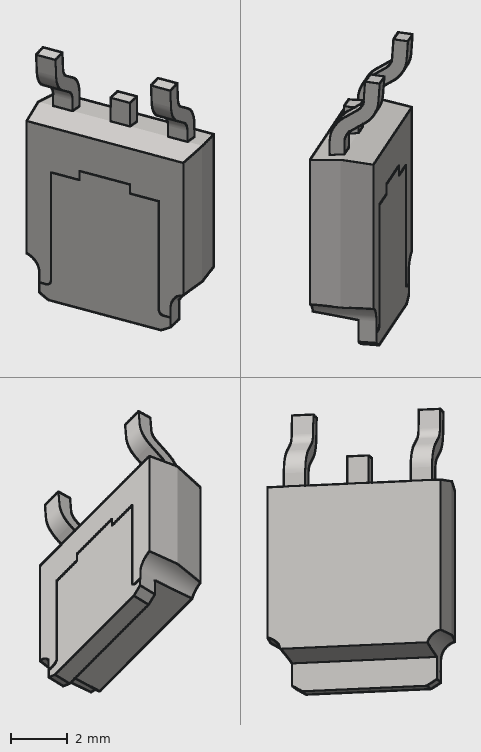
import cadquery as cq
import math


BODY_WIDTH = 6.54
BODY_TOP = 7.18
HALF_DEPTH = 1.14
DRAFT_INSET = 0.15
BODY_BOTTOM_BACK = 1.22
BODY_BOTTOM_AT_TAB = 1.01
NOTCH_RADIUS = 0.66

TAB_THICKNESS = 0.65
TAB_PROUD = 0.01
TAB_WIDTH = BODY_WIDTH - 2 * NOTCH_RADIUS
TAB_CORNER_X = 0.37
TAB_CORNER_Z = 0.22
SHOULDER_Z = 0.62
SHOULDER_RADIUS = 0.2
PAD_WIDTH = 4.29
PAD_TOP = 5.21
TONGUE_WIDTH = 2.01
TONGUE_TOP = 5.58

LEAD_WIDTH = 0.78
LEAD_THICKNESS = 0.53
LEAD_SPACING = 2.29
LEAD_EMBED = 0.99
SHORT_LEAD_TOP = 8.13
BEND_START_Z = 7.61
LOWER_BEND_RADIUS = 0.82
UPPER_BEND_RADIUS = 0.77
SLOPE_ANGLE = math.radians(57)
TIP_ANGLE = math.radians(4)
TIP_FRONT_Y = -1.27
LEAD_TOP = 9.94

TAB_BACK_Y = TAB_THICKNESS - HALF_DEPTH
LEAD_CENTER_Y = LEAD_THICKNESS / 2


def make_body():
    """Drafted block with a parting line and two rounded notches at its lower corners."""
    half_width = BODY_WIDTH / 2
    face_half_width = half_width - DRAFT_INSET
    face_top = BODY_TOP - DRAFT_INSET
    plan = (
        cq.Workplane("XY")
        .polyline([
            (-half_width, 0),
            (-face_half_width, -HALF_DEPTH),
            (face_half_width, -HALF_DEPTH),
            (half_width, 0),
            (face_half_width, HALF_DEPTH),
            (-face_half_width, HALF_DEPTH),
        ])
        .close()
        .extrude(BODY_TOP)
    )
    side = (
        cq.Workplane("YZ")
        .polyline([
            (HALF_DEPTH, BODY_BOTTOM_BACK),
            (TAB_BACK_Y, BODY_BOTTOM_AT_TAB),
            (TAB_BACK_Y, SHOULDER_Z),
            (-HALF_DEPTH, SHOULDER_Z),
            (-HALF_DEPTH, face_top),
            (0, BODY_TOP),
            (HALF_DEPTH, face_top),
        ])
        .close()
        .extrude(half_width, both=True)
    )
    body = plan.intersect(side)
    for sign in (-1, 1):
        corner = cq.Workplane("XZ").center(sign * half_width, BODY_BOTTOM_AT_TAB)
        round_notch = corner.circle(NOTCH_RADIUS).extrude(HALF_DEPTH, both=True)
        straight_notch = (
            corner.center(0, -BODY_BOTTOM_AT_TAB / 2)
            .rect(2 * NOTCH_RADIUS, BODY_BOTTOM_AT_TAB)
            .extrude(HALF_DEPTH, both=True)
        )
        body = body.cut(round_notch).cut(straight_notch)
    return body


def make_tab():
    """Heat tab: wide chamfered foot, narrower pad with rounded shoulders, and a tongue."""
    half_tab = TAB_WIDTH / 2
    half_pad = PAD_WIDTH / 2
    half_tongue = TONGUE_WIDTH / 2
    right_half = [
        (half_tab - TAB_CORNER_X, 0),
        (half_tab, TAB_CORNER_Z),
        (half_tab, SHOULDER_Z),
        (half_pad, SHOULDER_Z),
        (half_pad, PAD_TOP),
        (half_tongue, PAD_TOP),
        (half_tongue, TONGUE_TOP),
    ]
    left_half = [(-x, z) for x, z in reversed(right_half)]
    shoulder_edges = cq.selectors.BoxSelector(
        (-half_pad - 0.1, -2 * HALF_DEPTH, SHOULDER_Z - 0.1),
        (half_pad + 0.1, 2 * HALF_DEPTH, SHOULDER_Z + 0.1),
    )
    return (
        cq.Workplane("XZ", origin=(0, TAB_BACK_Y, 0))
        .polyline(right_half + left_half)
        .close()
        .extrude(TAB_THICKNESS + TAB_PROUD)
        .edges("|Y")
        .edges(shoulder_edges)
        .fillet(SHOULDER_RADIUS)
    )


def bend_offset(radius, start_angle, end_angle):
    """Forward (-Y) and upward travel along an arc, angles measured from vertical."""
    forward = radius * abs(math.cos(start_angle) - math.cos(end_angle))
    upward = radius * abs(math.sin(end_angle) - math.sin(start_angle))
    return forward, upward


def make_formed_lead(x):
    """Lead rising from the body, bent forward and then back to nearly vertical."""
    tip_y = TIP_FRONT_Y + LEAD_THICKNESS / 2 * math.cos(TIP_ANGLE)
    tip_z = LEAD_TOP - LEAD_THICKNESS / 2 * math.sin(TIP_ANGLE)
    lower_forward, lower_up = bend_offset(LOWER_BEND_RADIUS, 0, SLOPE_ANGLE)
    upper_forward, upper_up = bend_offset(UPPER_BEND_RADIUS, SLOPE_ANGLE, TIP_ANGLE)

    forward_left = LEAD_CENTER_Y - tip_y - lower_forward - upper_forward
    up_left = tip_z - BEND_START_Z - lower_up - upper_up
    tip_length = (
        up_left * math.sin(SLOPE_ANGLE) - forward_left * math.cos(SLOPE_ANGLE)
    ) / math.sin(SLOPE_ANGLE - TIP_ANGLE)

    slope_start = (LEAD_CENTER_Y - lower_forward, BEND_START_Z + lower_up)
    tip_start = (
        tip_y + tip_length * math.sin(TIP_ANGLE),
        tip_z - tip_length * math.cos(TIP_ANGLE),
    )
    slope_end = (tip_start[0] + upper_forward, tip_start[1] - upper_up)
    lead_root = BODY_TOP - LEAD_EMBED
    path = (
        cq.Workplane("YZ", origin=(x, 0, 0))
        .moveTo(LEAD_CENTER_Y, lead_root)
        .lineTo(LEAD_CENTER_Y, BEND_START_Z)
        .tangentArcPoint(slope_start, relative=False)
        .lineTo(*slope_end)
        .tangentArcPoint(tip_start, relative=False)
        .lineTo(tip_y, tip_z)
    )
    return (
        cq.Workplane("XY", origin=(x, LEAD_CENTER_Y, lead_root))
        .rect(LEAD_WIDTH, LEAD_THICKNESS)
        .sweep(path)
    )


def make_short_lead():
    """Straight, cropped middle lead."""
    lead_root = BODY_TOP - LEAD_EMBED
    return (
        cq.Workplane("XY", origin=(0, LEAD_CENTER_Y, lead_root))
        .rect(LEAD_WIDTH, LEAD_THICKNESS)
        .extrude(SHORT_LEAD_TOP - lead_root)
    )


result = make_body().union(make_tab()).union(make_short_lead())
for lead_x in (-LEAD_SPACING, LEAD_SPACING):
    result = result.union(make_formed_lead(lead_x))